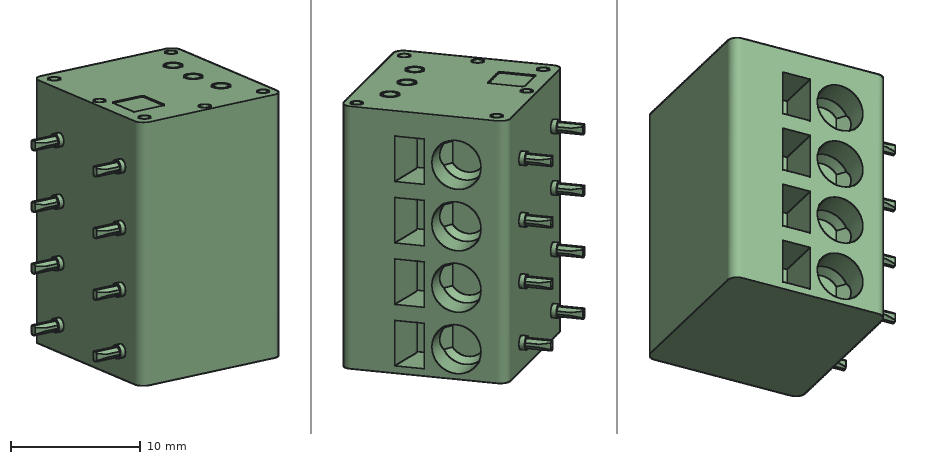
import cadquery as cq
import math

width = 14.4
depth = 13.5
height = 21.4
corner_radius = 0.81

pole_count = 4
pole_pitch = 5.0
first_pin_z = 2.3
first_port_z = 2.46
pin_levels = [first_pin_z + i * pole_pitch for i in range(pole_count)]
port_levels = [first_port_z + i * pole_pitch for i in range(pole_count)]

pin_columns = (-3.6, 4.6)
pin_length = 2.5
collar_diameter = 1.11
collar_length = 0.45
pin_size = 0.81
pin_chamfer = 0.28
pin_tip_width = 0.51
pin_taper_length = 0.9

funnel_y = 4.1
funnel_mouth_radius = 2.0
funnel_throat_radius = 1.93
funnel_floor_radius = 1.52
funnel_straight_depth = 2.2
funnel_cone_depth = 0.75
flat_half_height = 0.88
funnel_depth = funnel_straight_depth + funnel_cone_depth

slot_y = 7.92
slot_width = 2.4
slot_height = 3.7
slot_slope_depth = 3.42
slot_slope = 0.62
slot_depth = 3.85

small_ring_diameter = 0.98
small_plug_diameter = 0.81
small_ring_depth = 0.1
small_ring_points = [(-6.23, 12.5), (6.0, 12.5), (6.4, 6.65), (-6.01, 1.22), (6.0, 1.22), (0.54, 0.83)]
large_ring_diameter = 1.5
large_plug_diameter = 1.13
large_ring_depth = 0.32
large_ring_points = [(-3.42, 10.68), (-0.24, 10.31), (2.95, 10.68)]

label_x = 2.93
label_y = 2.82
label_size = 3.0
label_depth = 0.1
label_corner_radius = 0.21


def housing():
    block = cq.Workplane("XY").box(width, depth, height, centered=(True, False, False))
    return block.edges("|Z").fillet(corner_radius)


def solder_pin():
    """Pin along -Y, starting at the origin: round collar, then a chamfered bar with a wedge tip."""
    collar = cq.Workplane("XZ").circle(collar_diameter / 2).extrude(collar_length)
    bar = cq.Workplane("XZ").rect(pin_size, pin_size).extrude(pin_length).edges("|Y").chamfer(pin_chamfer)
    half_size = pin_size / 2
    half_tip = pin_tip_width / 2
    taper_start = pin_taper_length - pin_length
    wedge = (
        cq.Workplane("XY")
        .polyline([
            (-half_size, 0),
            (-half_size, taper_start),
            (-half_tip, -pin_length),
            (half_tip, -pin_length),
            (half_size, taper_start),
            (half_size, 0),
        ])
        .close()
        .extrude(half_size, both=True)
    )
    return collar.union(bar.intersect(wedge))


def wire_funnel():
    """Cavity along +X from the origin: drafted bore, then a cone flattened on its +Y and -Y sides."""
    cavity = (
        cq.Workplane("XY")
        .polyline([
            (0, 0),
            (0, funnel_mouth_radius),
            (funnel_straight_depth, funnel_throat_radius),
            (funnel_depth, funnel_floor_radius),
            (funnel_depth, 0),
        ])
        .close()
        .revolve(360, (0, 0), (1, 0))
    )
    throat_y = math.sqrt(funnel_throat_radius**2 - flat_half_height**2)
    floor_y = math.sqrt(funnel_floor_radius**2 - flat_half_height**2)
    mouth_y = throat_y + (throat_y - floor_y) * funnel_straight_depth / funnel_cone_depth
    between_flats = (
        cq.Workplane("XY")
        .polyline([(0, mouth_y), (funnel_depth, floor_y), (funnel_depth, -floor_y), (0, -mouth_y)])
        .close()
        .extrude(funnel_mouth_radius, both=True)
    )
    return cavity.intersect(between_flats)


def release_slot():
    """Cavity along +X from the origin, centred in Y and Z at its mouth."""
    half_width = slot_width / 2
    return (
        cq.Workplane("XY")
        .polyline([
            (0, -half_width),
            (0, half_width),
            (slot_slope_depth, half_width - slot_slope),
            (slot_depth, half_width - slot_slope),
            (slot_depth, -half_width),
        ])
        .close()
        .extrude(slot_height / 2, both=True)
    )


def ring_groove(ring_diameter, plug_diameter, ring_depth):
    """Groove below the origin: straight outer wall, and a plug that widens down to meet it."""
    return (
        cq.Workplane("XZ")
        .polyline([(plug_diameter / 2, 0), (ring_diameter / 2, 0), (ring_diameter / 2, -ring_depth)])
        .close()
        .revolve(360, (0, 0), (0, 1))
    )


def label_recess():
    """Square cavity below the origin."""
    recess = cq.Workplane("XY").rect(label_size, label_size).extrude(-label_depth)
    return recess.edges("|Z").edges("<X or >Y").fillet(label_corner_radius)


result = housing()
result = result.cut(label_recess().translate((label_x, label_y, height)))

for z in port_levels:
    result = result.cut(wire_funnel().translate((-width / 2, funnel_y, z)))
    result = result.cut(release_slot().translate((-width / 2, slot_y, z)))

for z in pin_levels:
    for x in pin_columns:
        result = result.union(solder_pin().translate((x, 0, z)))

for x, y in small_ring_points:
    groove = ring_groove(small_ring_diameter, small_plug_diameter, small_ring_depth)
    result = result.cut(groove.translate((x, y, height)))

for x, y in large_ring_points:
    groove = ring_groove(large_ring_diameter, large_plug_diameter, large_ring_depth)
    result = result.cut(groove.translate((x, y, height)))